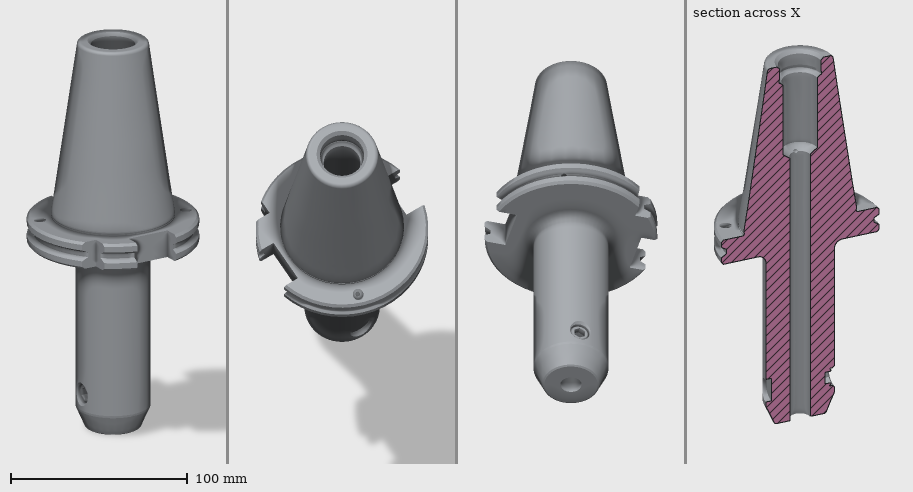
import cadquery as cq
import math

TOTAL_HEIGHT = 231.8
GAUGE_Z = 130.0
FLANGE_TOP = 126.8
FLANGE_BOTTOM = 110.8
FLANGE_MID = (FLANGE_TOP + FLANGE_BOTTOM) / 2

GAUGE_RADIUS = 35.0
TAPER_SLOPE = 7 / 48
TAPER_TOP_RADIUS = GAUGE_RADIUS - TAPER_SLOPE * (TOTAL_HEIGHT - GAUGE_Z)
TAPER_TOP_FILLET = 2.0
TAPER_BOTTOM = 129.0
RELIEF_TOP = 128.5
RELIEF_BOTTOM = 127.5
RELIEF_DEPTH = 0.5

FLANGE_DIAMETER = 97.5
FLANGE_RADIUS = FLANGE_DIAMETER / 2
FLANGE_CHAMFER = 1.5
GROOVE_FLOOR_RADIUS = 45.7
GROOVE_HALF_OPENING = 3.2
GROOVE_HALF_FLOOR = 1.5

SLOT_WIDTH = 25.7
SLOT_FLOOR_LEFT = 35.0
SLOT_FLOOR_RIGHT = 37.8
NOTCH_OFFSET = 29.7

SHANK_RADIUS = 21.3
NECK_FILLET = 4.6
NOSE_HEIGHT = 12.7
NOSE_RADIUS = 15.8
NOSE_BLEND = 3.5
NOSE_CHAMFER = 0.7

COUNTERBORE_RADIUS = 12.5
COUNTERBORE_DEPTH = 11.0
COUNTERBORE_RELIEF_START = 9.0
COUNTERBORE_RELIEF_DEPTH = 0.5
SEAT_CONE_END_DEPTH = 12.7
COUNTERBORE_CHAMFER = 1.9
DRAWBAR_RADIUS = 10.5
DRAWBAR_DEPTH = 58.0
CONE_DEPTH = 3.5
TOOL_BORE_RADIUS = 6.0
DIMPLE_RADIUS = 1.5
DIMPLE_OFFSET = 5.8

SCREW_Z = 23.0
SCREW_RADIUS = 5.5
SCREW_COUNTERSINK_RADIUS = 7.0
SCREW_FACE_DEPTH = 2.3
SCREW_CHAMFER = 1.0
SCREW_HEX_FLATS = 6.3
SCREW_HEX_DEPTH = 3.5
BALANCE_RADIUS = 7.2
BALANCE_DEPTH = 3.5

PORT_RING_RADIUS = 42.2
PORT_ANGLE = 20.0
PORT_TILT = 30.0
PORT_RADIUS = 3.0
PORT_DEPTH = 2.3
PORT_HEX_FLATS = 2.5
PORT_HEX_DEPTH = 1.5
CROSS_HOLE_RADIUS = 1.6
CROSS_HOLE_DEPTH = 1.9


def hex_across_corners(flats):
    return flats / math.cos(math.pi / 6)


def cylinder_at(radius, height, start, direction):
    solid = cq.Solid.makeCylinder(radius, height, cq.Vector(*start), cq.Vector(*direction))
    return cq.Workplane(solid)


def cone_at(start_radius, end_radius, height, start, direction):
    solid = cq.Solid.makeCone(start_radius, end_radius, height, cq.Vector(*start), cq.Vector(*direction))
    return cq.Workplane(solid)


def make_taper():
    taper = (
        cq.Workplane("XZ")
        .moveTo(0, FLANGE_TOP)
        .lineTo(GAUGE_RADIUS, FLANGE_TOP)
        .lineTo(GAUGE_RADIUS, RELIEF_BOTTOM)
        .lineTo(GAUGE_RADIUS - RELIEF_DEPTH, RELIEF_BOTTOM)
        .lineTo(GAUGE_RADIUS - RELIEF_DEPTH, RELIEF_TOP)
        .lineTo(GAUGE_RADIUS, RELIEF_TOP)
        .lineTo(GAUGE_RADIUS, TAPER_BOTTOM)
        .lineTo(TAPER_TOP_RADIUS, TOTAL_HEIGHT)
        .lineTo(0, TOTAL_HEIGHT)
        .close()
        .revolve(360, (0, 0, 0), (0, 1, 0))
    )
    return taper.faces(">Z").edges().fillet(TAPER_TOP_FILLET)


def make_flange():
    rim = FLANGE_RADIUS - FLANGE_CHAMFER
    flange = (
        cq.Workplane("XZ")
        .moveTo(0, FLANGE_BOTTOM)
        .lineTo(rim, FLANGE_BOTTOM)
        .lineTo(FLANGE_RADIUS, FLANGE_BOTTOM + FLANGE_CHAMFER)
        .lineTo(FLANGE_RADIUS, FLANGE_MID - GROOVE_HALF_OPENING)
        .lineTo(GROOVE_FLOOR_RADIUS, FLANGE_MID - GROOVE_HALF_FLOOR)
        .lineTo(GROOVE_FLOOR_RADIUS, FLANGE_MID + GROOVE_HALF_FLOOR)
        .lineTo(FLANGE_RADIUS, FLANGE_MID + GROOVE_HALF_OPENING)
        .lineTo(FLANGE_RADIUS, FLANGE_TOP - FLANGE_CHAMFER)
        .lineTo(rim, FLANGE_TOP)
        .lineTo(0, FLANGE_TOP)
        .close()
        .revolve(360, (0, 0, 0), (0, 1, 0))
    )
    height = FLANGE_TOP - FLANGE_BOTTOM

    def flange_cut(x, y, size_x, size_y, centered_y):
        corner = cq.Workplane("XY", origin=(x, y, FLANGE_BOTTOM))
        return corner.box(size_x, size_y, height, centered=(False, centered_y, False))

    left_slot = flange_cut(-SLOT_FLOOR_LEFT - FLANGE_RADIUS, 0, FLANGE_RADIUS, SLOT_WIDTH, True)
    right_slot = flange_cut(SLOT_FLOOR_RIGHT, 0, FLANGE_RADIUS, SLOT_WIDTH, True)
    notch = flange_cut(NOTCH_OFFSET, -NOTCH_OFFSET - FLANGE_RADIUS, FLANGE_RADIUS, FLANGE_RADIUS, False)
    return flange.cut(left_slot).cut(right_slot).cut(notch)


def make_shank():
    shank = (
        cq.Workplane("XZ")
        .lineTo(NOSE_RADIUS, 0)
        .lineTo(SHANK_RADIUS, NOSE_HEIGHT)
        .lineTo(SHANK_RADIUS, FLANGE_BOTTOM - NECK_FILLET)
        .radiusArc((SHANK_RADIUS + NECK_FILLET, FLANGE_BOTTOM), NECK_FILLET)
        .lineTo(0, FLANGE_BOTTOM)
        .close()
        .revolve(360, (0, 0, 0), (0, 1, 0))
    )
    nose_ring = cq.selectors.NearestToPointSelector((0, 0, NOSE_HEIGHT))
    shank = shank.edges(nose_ring).fillet(NOSE_BLEND)
    return shank.faces("<Z").edges().chamfer(NOSE_CHAMFER)


def make_bore():
    drawbar_end = TOTAL_HEIGHT - DRAWBAR_DEPTH
    relief_radius = COUNTERBORE_RADIUS + COUNTERBORE_RELIEF_DEPTH
    bore = (
        cq.Workplane("XZ")
        .lineTo(TOOL_BORE_RADIUS, 0)
        .lineTo(TOOL_BORE_RADIUS, drawbar_end - CONE_DEPTH)
        .lineTo(DRAWBAR_RADIUS, drawbar_end)
        .lineTo(DRAWBAR_RADIUS, TOTAL_HEIGHT - SEAT_CONE_END_DEPTH)
        .lineTo(COUNTERBORE_RADIUS, TOTAL_HEIGHT - COUNTERBORE_DEPTH)
        .lineTo(relief_radius, TOTAL_HEIGHT - COUNTERBORE_DEPTH)
        .lineTo(relief_radius, TOTAL_HEIGHT - COUNTERBORE_RELIEF_START)
        .lineTo(COUNTERBORE_RADIUS, TOTAL_HEIGHT - COUNTERBORE_RELIEF_START)
        .lineTo(COUNTERBORE_RADIUS, TOTAL_HEIGHT - COUNTERBORE_CHAMFER)
        .lineTo(COUNTERBORE_RADIUS + COUNTERBORE_CHAMFER, TOTAL_HEIGHT)
        .lineTo(0, TOTAL_HEIGHT)
        .close()
        .revolve(360, (0, 0, 0), (0, 1, 0))
    )
    for side in (-1, 1):
        start = (side * DIMPLE_OFFSET, 0, drawbar_end - CONE_DEPTH)
        bore = bore.union(cylinder_at(DIMPLE_RADIUS, CONE_DEPTH, start, (0, 0, 1)))
        bore = bore.union(cone_at(DIMPLE_RADIUS, 0, DIMPLE_RADIUS, start, (0, 0, -1)))
    return bore


def make_screw_recess():
    """Countersunk hole on -Y, filled below by a set screw with a chamfered end and hex socket."""
    inward = (0, 1, 0)
    mouth = (0, -SHANK_RADIUS, SCREW_Z)
    face = (0, -SHANK_RADIUS + SCREW_FACE_DEPTH, SCREW_Z)
    recess = cylinder_at(SCREW_RADIUS, SCREW_FACE_DEPTH + SCREW_CHAMFER, mouth, inward)
    screw_end = cone_at(SCREW_RADIUS - SCREW_CHAMFER, SCREW_RADIUS, SCREW_CHAMFER, face, inward)
    countersink_depth = SCREW_COUNTERSINK_RADIUS - SCREW_RADIUS
    countersink = cone_at(SCREW_COUNTERSINK_RADIUS, SCREW_RADIUS, countersink_depth, mouth, inward)
    socket = (
        cq.Workplane("XZ", origin=face)
        .transformed(rotate=(0, 0, 90))
        .polygon(6, hex_across_corners(SCREW_HEX_FLATS))
        .extrude(-SCREW_HEX_DEPTH)
    )
    return recess.cut(screw_end).union(countersink).union(socket)


def make_balance_hole():
    return cylinder_at(BALANCE_RADIUS, BALANCE_DEPTH, (0, SHANK_RADIUS, SCREW_Z), (0, -1, 0))


def make_port():
    """Tilted plugged coolant port on the -Y side, with a small radial hole in the groove floor."""
    tilt = math.radians(PORT_TILT)
    inward = cq.Vector(0, math.sin(tilt), -math.cos(tilt))
    mouth = cq.Vector(0, -PORT_RING_RADIUS, FLANGE_TOP)
    plug_face = mouth + inward * PORT_DEPTH
    start = mouth - inward * PORT_RADIUS
    port = cylinder_at(PORT_RADIUS, PORT_DEPTH + PORT_RADIUS, start.toTuple(), inward.toTuple())
    socket = (
        cq.Workplane(cq.Plane(origin=plug_face.toTuple(), xDir=(1, 0, 0), normal=inward.toTuple()))
        .polygon(6, hex_across_corners(PORT_HEX_FLATS))
        .extrude(PORT_HEX_DEPTH)
    )
    cross_hole = cylinder_at(
        CROSS_HOLE_RADIUS,
        FLANGE_RADIUS - GROOVE_FLOOR_RADIUS + CROSS_HOLE_DEPTH,
        (0, -FLANGE_RADIUS, FLANGE_MID),
        (0, 1, 0),
    )
    return port.union(socket).union(cross_hole)


result = make_shank().union(make_flange()).union(make_taper())
result = result.cut(make_bore()).cut(make_screw_recess()).cut(make_balance_hole())
for turn in (0, 180):
    result = result.cut(make_port().rotate((0, 0, 0), (0, 0, 1), turn - PORT_ANGLE))